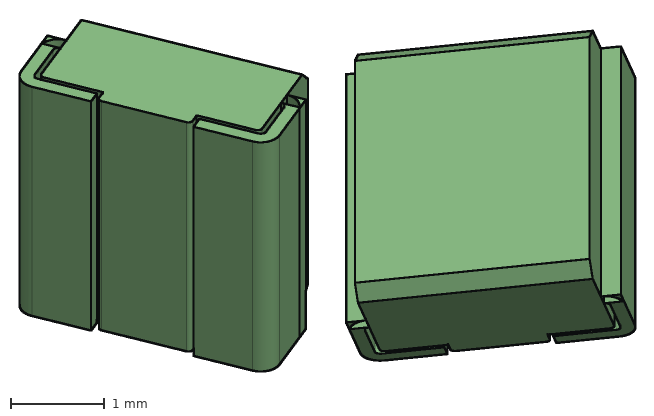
import cadquery as cq
import math

width = 3.0
depth = 1.5
height = 3.0
half_width = width / 2
back_y = depth / 2
front_y = -depth / 2

strip_thickness = 0.16
outer_bend_radius = 0.22
inner_bend_radius = outer_bend_radius - strip_thickness
terminal_back_y = 0.183
foot_length = 0.905

body_half_width = half_width - outer_bend_radius
body_front_y = -0.543
pad_half_width = 0.543
pad_front_y = -0.702
body_corner_radius = 0.05
back_chamfer = 0.16


def make_body():
    """Block with a front pad, rounded front corners and chamfered back edges."""
    block = cq.Workplane("XY").box(
        2 * body_half_width, back_y - body_front_y, height
    ).translate((0, (back_y + body_front_y) / 2, 0))
    block = block.edges("|Z and <Y").fillet(body_corner_radius)
    block = block.faces(">Y").edges("|X").chamfer(back_chamfer)

    pad_back_y = 0.0
    pad = cq.Workplane("XY").box(
        2 * pad_half_width, pad_back_y - pad_front_y, height
    ).translate((0, (pad_back_y + pad_front_y) / 2, 0))
    pad = pad.edges("|Z and <Y").fillet(body_corner_radius)
    return block.union(pad)


def make_left_terminal():
    """J-shaped strip with a thin hooked corner behind its upright arm."""
    outer_x = -half_width
    inner_x = outer_x + strip_thickness
    bend_x = outer_x + outer_bend_radius
    foot_end_x = outer_x + foot_length
    foot_back_y = front_y + strip_thickness
    front_bend_y = front_y + outer_bend_radius
    back_bend_y = terminal_back_y - outer_bend_radius
    arm_back_y = terminal_back_y - strip_thickness

    diagonal = math.sqrt(0.5)
    outer_offset = outer_bend_radius * diagonal
    inner_offset = inner_bend_radius * diagonal

    hook_root_x = bend_x - math.sqrt(outer_bend_radius**2 - inner_bend_radius**2)

    profile = (
        cq.Workplane("XY", origin=(0, 0, -height / 2))
        .moveTo(foot_end_x, front_y)
        .lineTo(bend_x, front_y)
        .threePointArc(
            (bend_x - outer_offset, front_bend_y - outer_offset), (outer_x, front_bend_y)
        )
        .lineTo(outer_x, terminal_back_y)
        .lineTo(bend_x, terminal_back_y)
        .threePointArc(
            (bend_x - outer_offset, back_bend_y + outer_offset), (hook_root_x, arm_back_y)
        )
        .lineTo(bend_x, arm_back_y)
        .threePointArc(
            (bend_x - inner_offset, back_bend_y + inner_offset), (inner_x, back_bend_y)
        )
        .lineTo(inner_x, front_bend_y)
        .threePointArc(
            (bend_x - inner_offset, front_bend_y - inner_offset), (bend_x, foot_back_y)
        )
        .lineTo(foot_end_x, foot_back_y)
        .close()
    )
    return profile.extrude(height)


def make_terminal(side):
    """Terminal on the -X side (side = -1) or mirrored to the +X side (side = 1)."""
    left_terminal = make_left_terminal()
    if side < 0:
        return left_terminal
    return left_terminal.mirror("YZ")


body = make_body()
terminals = []
for side in (-1, 1):
    terminals.append(make_terminal(side).val())

result = cq.Compound.makeCompound([body.val(), *terminals])